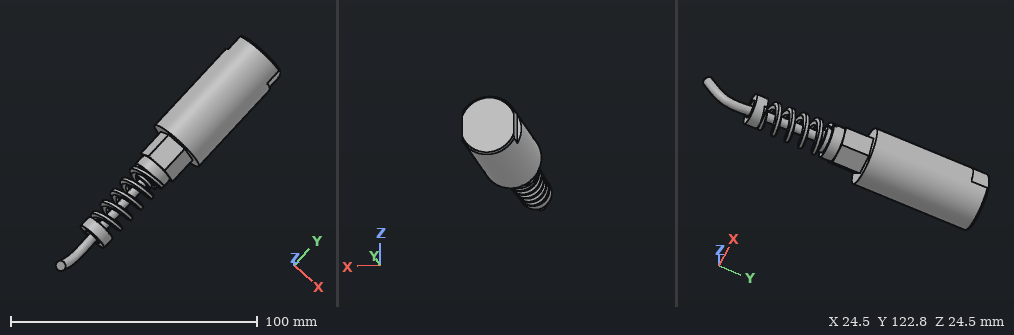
import cadquery as cq
import math


body_diameter = 24.51
body_length = 50.8
body_chamfer = 0.76
flat_spacing = 21.34
flat_length = 7.87

hex_across_flats = 15.24
hex_length = 12.19
collar_diameter = 14.73
collar_length = 4.83
spigot_diameter = 11.05
spigot_length = 2.0
sleeve_diameter = 7.37
sleeve_length = 3.4

ring_diameter = 13.21
ring_length = 5.08
relief_bore = 7.62
coil_gap_length = 28.96
coil_pitch = 6.1
coil_turns = 4.9
coil_inset = 0.5
coil_start_diameter = 14.95
coil_end_diameter = 13.1
wire_width = 2.6
wire_land = 1.45
wire_outer_depth = 1.6
wire_inner_depth = 1.7

cable_diameter = 4.3
cable_tip_angle = 58.5
cable_tip_height = 8.95
overall_length = 122.81

collar_start = -hex_length
collar_end = collar_start - collar_length
ring_start = collar_end - coil_gap_length
ring_end = ring_start - ring_length
coil_start = collar_end + coil_inset
cable_tip_reach = cable_diameter / 2 * math.sin(math.radians(cable_tip_angle))
cable_tip = body_length - overall_length + cable_tip_reach

cable_path = [
    (collar_end, 0.0),
    (-28.0, -0.1),
    (-38.1, -0.5),
    (ring_end, -1.95),
    (-56.6, -2.55),
    (-60.9, -2.0),
    (-66.0, 2.3),
    (cable_tip, cable_tip_height),
]


def cylinder(diameter, start, length):
    """Cylinder on the axis, growing towards -Y from y = start."""
    return cq.Workplane("XZ", origin=(0, start, 0)).circle(diameter / 2).extrude(length)


def make_body():
    """Housing with a chamfered far end and two wrench flats facing +X and -X."""
    body = cylinder(body_diameter, body_length, body_length)
    body = body.faces(">Y").chamfer(body_chamfer)
    flat_depth = (body_diameter - flat_spacing) / 2
    for side in (-1, 1):
        cutter = cq.Workplane("XY").box(flat_depth, flat_length, body_diameter).translate(
            (side * (flat_spacing + flat_depth) / 2, body_length - flat_length / 2, 0)
        )
        body = body.cut(cutter)
    return body


def make_gland():
    """Hexagon with horizontal flats on top and bottom, then collar, spigot and sleeve."""
    across_corners = hex_across_flats / math.cos(math.pi / 6)
    gland = cq.Workplane("XZ").polygon(6, across_corners).extrude(hex_length)
    gland = gland.union(cylinder(collar_diameter, collar_start, collar_length))
    gland = gland.union(cylinder(spigot_diameter, collar_end, spigot_length))
    return gland.union(cylinder(sleeve_diameter, collar_end, sleeve_length))


def make_strain_relief():
    """Right-handed tapered coil of hexagonal wire, joined to the end ring."""
    start_radius = coil_start_diameter / 2 - wire_outer_depth
    taper = math.atan2((coil_start_diameter - coil_end_diameter) / 2, coil_start - ring_start)
    section = [
        (start_radius - wire_inner_depth, -wire_land / 2),
        (start_radius, -wire_width / 2),
        (start_radius + wire_outer_depth, -wire_land / 2),
        (start_radius + wire_outer_depth, wire_land / 2),
        (start_radius, wire_width / 2),
        (start_radius - wire_inner_depth, wire_land / 2),
    ]
    helix = cq.Wire.makeHelix(
        coil_pitch, coil_turns * coil_pitch, start_radius, angle=-math.degrees(taper)
    )
    coil = (
        cq.Workplane("XZ")
        .polyline(section)
        .close()
        .sweep(cq.Workplane(helix), isFrenet=True)
        .rotate((0, 0, 0), (1, 0, 0), 90)
        .translate((0, coil_start, 0))
    )
    ring = cylinder(ring_diameter, ring_start, ring_length)
    ring = ring.cut(cylinder(relief_bore, ring_start, ring_length))
    return ring.union(coil)


def make_cable():
    """Round cable swept along its smooth centre line."""
    tip = math.radians(cable_tip_angle)
    path = cq.Workplane("YZ").spline(
        cable_path, tangents=[(-1, 0), (-math.cos(tip), math.sin(tip))]
    )
    section = cq.Workplane("XZ", origin=(0, collar_end, 0)).circle(cable_diameter / 2)
    return section.sweep(path)


result = make_body().union(make_gland()).union(make_strain_relief()).union(make_cable())